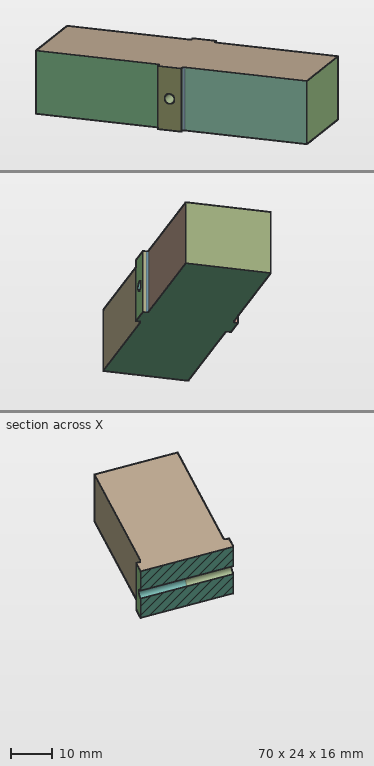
import cadquery as cq

length = 70.0
overall_width = 24.0
height = 16.0

rib_width = 6.0
rib_projection = 1.25
root_radius = 0.5

hole_diameter = 2.5

body_width = overall_width - 2 * rib_projection


def make_body():
    """Plain block, centred on the origin."""
    return cq.Workplane("XY").box(length, body_width, height)


def make_ribs():
    """One bar crossing the block, so its ends stand out as the two ribs."""
    return cq.Workplane("XY").box(rib_width, overall_width, height)


def round_rib_roots(part):
    """Fillet the four vertical inside corners where the ribs meet the block."""
    corners = cq.Workplane("XY").rect(rib_width, body_width).vertices().vals()
    for corner in corners:
        edge = cq.selectors.NearestToPointSelector(corner.toTuple())
        part = part.edges("|Z").edges(edge).fillet(root_radius)
    return part


def make_cross_hole():
    """Cylinder along Y through the centre of the part."""
    hole_radius = hole_diameter / 2
    return cq.Workplane("XZ").circle(hole_radius).extrude(overall_width / 2, both=True)


ribbed_block = round_rib_roots(make_body().union(make_ribs()))
result = ribbed_block.cut(make_cross_hole())